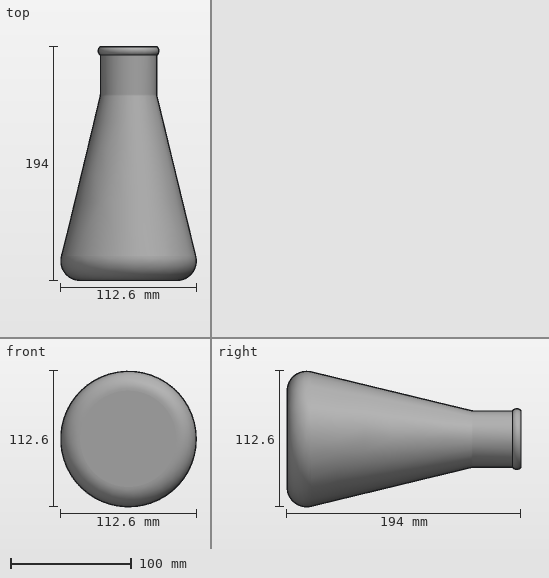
import cadquery as cq
import math

total_length = 194.0
max_radius = 56.3
base_round = 16.3
neck_radius = 23.5
neck_length = 40.0
shoulder_round = 4.9
lip_height = 7.2
lip_radius = 25.2

base_y = -total_length / 2
mouth_y = total_length / 2
lip_y = mouth_y - lip_height
shoulder_y = mouth_y - neck_length

flat_radius = max_radius - base_round
base_center = (flat_radius, base_y + base_round)
shoulder_center = (neck_radius + shoulder_round, shoulder_y)

center_dr = shoulder_center[0] - base_center[0]
center_dy = shoulder_center[1] - base_center[1]
center_distance = math.hypot(center_dr, center_dy)
cone_angle = math.atan2(center_dy, center_dr) - math.acos(
    (base_round + shoulder_round) / center_distance
)


def arc_point(center, radius, angle):
    """Point (radius, y) of a profile arc; angle is measured from outward radial."""
    return (
        center[0] + radius * math.cos(angle),
        center[1] + radius * math.sin(angle),
    )


cone_bottom = arc_point(base_center, base_round, cone_angle)
cone_top = arc_point(shoulder_center, shoulder_round, math.pi + cone_angle)
shoulder_middle = arc_point(shoulder_center, shoulder_round, math.pi + cone_angle / 2)

profile = (
    cq.Workplane("XY")
    .moveTo(0, base_y)
    .lineTo(flat_radius, base_y)
    .threePointArc(arc_point(base_center, base_round, 0), cone_bottom)
    .lineTo(*cone_top)
    .threePointArc(shoulder_middle, (neck_radius, shoulder_y))
    .lineTo(neck_radius, lip_y)
    .threePointArc((lip_radius, lip_y + lip_height / 2), (neck_radius, mouth_y))
    .lineTo(0, mouth_y)
    .close()
)

result = profile.revolve(360, (0, 0, 0), (0, 1, 0))